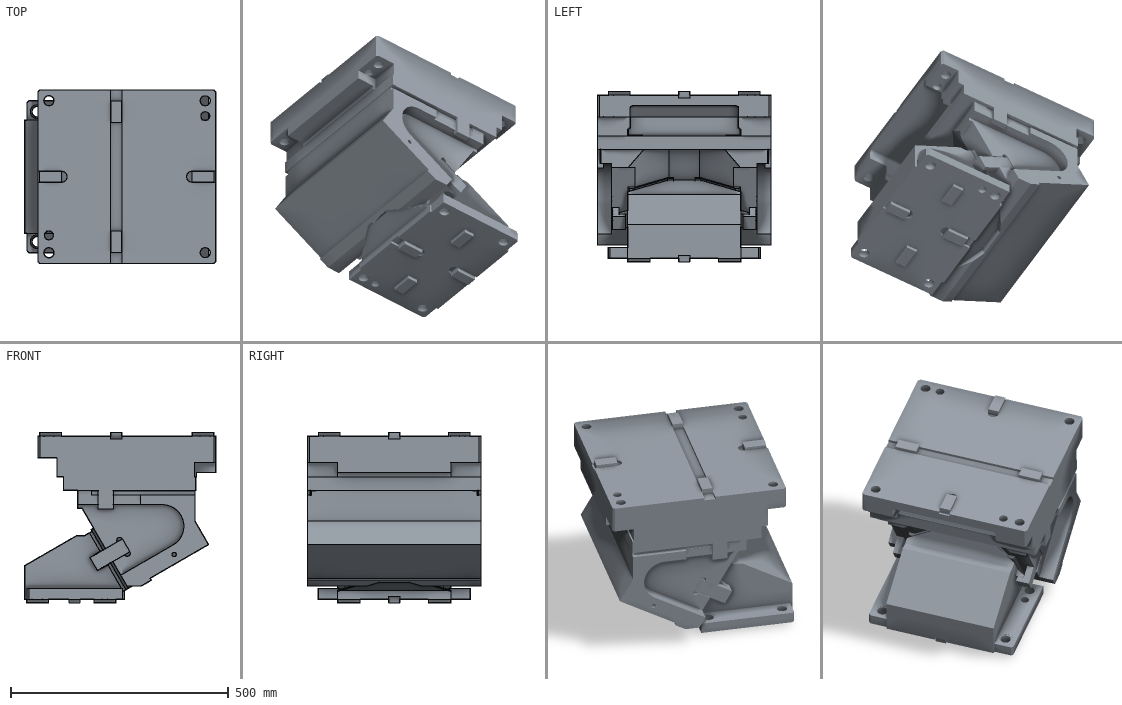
import cadquery as cq
import math


total_length = 440.0
total_width = 400.0
half_width = total_width / 2

tilt = math.radians(30)
tilt_cos = math.cos(tilt)
tilt_sin = math.sin(tilt)
roof_slope = math.tan(math.radians(30))

roof_eave_rise = 205.5
roof_half_width = 130.2
ridge_half_width = 38.5
ridge_rise = roof_eave_rise + (roof_half_width - ridge_half_width) * roof_slope
guide_top = 58.0
guide_bottom = -97.5
slider_face_rise = 219.0
groove_half_width = 113.0
groove_flat_half_width = 35.0
groove_mouth_rise = 198.0
groove_flat_rise = slider_face_rise + (groove_half_width - groove_flat_half_width) * roof_slope

pad_top = 62.5
pad_bottom = -97.0
pad_inner_y = 24.0
pad_slope_end_y = 117.5
pad_lip_y = 129.5

base_shoulder_z = 77.5
base_top_z = 146.5
base_end_x = 230.0
flange_start_x = 5.5
flange_end_x = 225.5
flange_half_width = 175.0
flange_height = 25.0
corner_chamfer = 5.0
flange_hole_xs = (29.0, 202.5)
flange_hole_y = 149.5
flange_hole_diameter = 23.8
flange_sink_diameter = 31.5
flange_sink_depth = 1.0
flange_dowel_x = 168.0
flange_dowel_diameter = 19.0

hook_start_rise = 178.0
hook_end_rise = 264.5
hook_bottom = -26.5
hook_top = 8.0
hook_inner_y = 134.5
hook_leg_y = 149.5
hook_outer_y = 165.0
hook_foot_thickness = 11.5
hook_relief_radius = 7.0
ear_outer_y = 148.5
ear_overhang = 1.0
hook_foot_rise = hook_start_rise + hook_foot_thickness

slider_left_x = 122.0
slider_right_x = 392.0
slider_top_z = 251.0
slider_left_bottom_z = 209.5
slider_bottom_z = 30.5
slider_bottom_end_x = 268.5
slider_ramp_step_x = 291.5
slider_ramp_step = 5.5
slider_tip_x = 423.5
side_pocket_y = 167.0
side_pocket_top_z = 218.0
side_pocket_radius = 49.5
side_pocket_slide = -62.5
guide_wall_y = 192.0
ledge_start_x = 266.0
ledge_top_z = 240.0
rebate_start_x = 154.0
rebate_depth = 1.5
gap_height = 1.8
gap_depth = 9.0
side_hole_x = 344.0
side_hole_z = 103.0
side_hole_diameter = 10.0
side_hole_depth = 17.5

plate_left_x = 30.5
plate_top_z = 375.5
left_lip_z = 325.5
left_step_x = 74.0
step_z = 281.5
lower_left_x = 89.5
lower_right_x = 394.0
right_step_x = 390.5
right_lip_z = 314.5
rear_block_x = 396.0
rear_block_z = 291.5
tab_start_x = 169.0
tab_end_x = 204.0
tab_bottom_z = 207.5
tab_inner_y = 193.5
tab_foot_y = 186.0
plate_hole_xs = (56.0, 415.5)
plate_hole_y = 174.5
plate_hole_diameter = 23.0
plate_dowel_ys = (-135.0, 139.5)
plate_dowel_diameter = 20.2

recess_half_width = 125.0
recess_top_z = 351.0
recess_back_x = 149.5
recess_corner_radius = 21.0
recess_edge_radius = 7.0
channel_half_width = 130.2
channel_flare_top_z = 301.0
channel_flare_bottom_z = 296.5
filler_front_x = 114.5
filler_clearance = 1.8
filler_relief_y = 95.5

key_width = 25.5
key_proud = 9.0
key_seat = 6.0
key_edge_chamfer = 1.0
plate_key_ends = ((34.8, 85.0), (385.5, 435.5))
plate_cross_key_x = 210.8
plate_cross_key_ys = (124.5, 174.5)
base_key_ends = ((5.0, 55.5), (159.5, 210.0))
base_cross_key_x = 115.0
base_cross_key_ys = (78.8, 130.2)


def block(xs, ys, zs):
    """Box between pairs of X, Y and Z limits."""
    size = [max(pair) - min(pair) for pair in (xs, ys, zs)]
    return cq.Workplane("XY").box(*size, centered=False).translate((min(xs), min(ys), min(zs)))


def side_prism(points, half_depth):
    """Outline in X and Z, extruded to the same depth on both sides of Y = 0."""
    return cq.Workplane("XZ").polyline(points).close().extrude(half_depth, both=True)


def guide_prism(points, top, bottom):
    """Outline in Y and rise, extruded along the slide direction."""
    plane = cq.Plane(
        origin=(-tilt_sin * top, 0, tilt_cos * top), xDir=(0, 1, 0), normal=(tilt_sin, 0, -tilt_cos)
    )
    return cq.Workplane(plane).polyline(points).close().extrude(top - bottom)


def inclined_sketch(outer_y):
    """Workplane at Y = -outer_y with rise and slide axes, facing -Y."""
    plane = cq.Plane(origin=(0, -outer_y, 0), xDir=(tilt_cos, 0, tilt_sin), normal=(0, -1, 0))
    return cq.Workplane(plane)


def both_sides(shape):
    """The shape together with its mirror image across Y = 0."""
    return shape.union(shape.mirror("XZ"))


def upright_hole(x, y, diameter, zs):
    """Vertical cylinder between two heights."""
    return cq.Workplane("XY", origin=(x, y, min(zs))).circle(diameter / 2).extrude(max(zs) - min(zs))


def point_at(rise, slide):
    """X and Z of a point given in inclined coordinates."""
    return (rise * tilt_cos - slide * tilt_sin, rise * tilt_sin + slide * tilt_cos)


def key(xs, ys, face_z, outward):
    """Key seated in a horizontal face; its exposed long edges are chamfered."""
    bar = block(xs, ys, (face_z - outward * key_seat, face_z + outward * key_proud))
    long_axis = "X" if xs[1] - xs[0] > ys[1] - ys[0] else "Y"
    exposed = ">Z" if outward > 0 else "<Z"
    return bar.faces(exposed).edges("|" + long_axis).chamfer(key_edge_chamfer)


def key_slot(open_x, round_x, face_z, inward):
    """Slot along X on Y = 0, open at one end; the arc at the other end is centred on round_x."""
    floor_z = face_z + inward * key_seat
    half = key_width / 2
    straight = block(sorted((open_x, round_x)), (-half, half), (face_z, floor_z))
    return straight.union(upright_hole(round_x, 0, key_width, (face_z, floor_z)))


def base_wedge():
    """Wedge-shaped core whose inclined side is the roof-shaped guide."""
    shoulder_run = (base_top_z - base_shoulder_z) / math.tan(tilt)
    top_end_x = (base_top_z * tilt_cos - guide_top) / tilt_sin
    end_rise = (base_end_x + guide_bottom * tilt_sin) / tilt_cos
    wedge = side_prism(
        [
            (0, 0),
            (0, base_shoulder_z),
            (shoulder_run, base_top_z),
            (top_end_x, base_top_z),
            point_at(ridge_rise, guide_top),
            point_at(ridge_rise, guide_bottom),
            point_at(end_rise, guide_bottom),
            (base_end_x, 0),
        ],
        roof_half_width,
    )
    above_roof = guide_prism(
        [
            (ridge_half_width, ridge_rise),
            (roof_half_width, roof_eave_rise),
            (roof_half_width, ridge_rise),
        ],
        guide_top,
        guide_bottom,
    )
    return wedge.cut(both_sides(above_roof))


def base_flange():
    """Mounting flange with sunk screw holes and a dowel hole."""
    ys = (-flange_half_width, flange_half_width)
    flange = block((flange_start_x, flange_end_x), ys, (0, flange_height))
    flange = flange.faces("<X").edges("|Z").chamfer(corner_chamfer)
    for x in flange_hole_xs:
        for y in (-flange_hole_y, flange_hole_y):
            flange = flange.cut(upright_hole(x, y, flange_hole_diameter, (0, flange_height)))
            sink_zs = (flange_height - flange_sink_depth, flange_height)
            flange = flange.cut(upright_hole(x, y, flange_sink_diameter, sink_zs))
    dowel_hole = upright_hole(flange_dowel_x, -flange_hole_y, flange_dowel_diameter, (0, flange_height))
    return flange.cut(dowel_hole)


def base_ears():
    """Side ears under the eaves, continuing the slope of the roof."""
    ear_rise = roof_eave_rise - (ear_outer_y - roof_half_width) * roof_slope
    ear = guide_prism(
        [
            (roof_half_width, hook_foot_rise),
            (roof_half_width, roof_eave_rise),
            (ear_outer_y, ear_rise),
            (ear_outer_y, hook_foot_rise),
        ],
        hook_top + ear_overhang,
        hook_bottom - ear_overhang,
    )
    return both_sides(ear)


def make_base():
    base = base_wedge().union(base_flange()).union(base_ears())
    (left_key, right_key) = base_key_ends
    base = base.cut(key_slot(0, left_key[1], 0, 1))
    base = base.cut(key_slot(base_end_x, right_key[0], 0, 1))
    half = key_width / 2
    for xs in base_key_ends:
        base = base.union(key(xs, (-half, half), 0, -1))
    cross_xs = (base_cross_key_x - half, base_cross_key_x + half)
    return base.union(both_sides(key(cross_xs, base_cross_key_ys, 0, -1)))


def slider_block():
    """Full-width slider outline."""
    face_top_x = (slider_face_rise - slider_left_bottom_z * tilt_sin) / tilt_cos
    face_bottom_x = (slider_face_rise - slider_bottom_z * tilt_sin) / tilt_cos
    step_z_low = slider_bottom_z + (slider_ramp_step_x - slider_bottom_end_x) * math.tan(tilt)
    step_x_high = slider_ramp_step_x - slider_ramp_step * tilt_sin
    step_z_high = step_z_low + slider_ramp_step * tilt_cos
    tip_z = step_z_high + (slider_tip_x - step_x_high) * math.tan(tilt)
    right_bottom_z = tip_z + (slider_tip_x - slider_right_x) / math.tan(tilt)
    return side_prism(
        [
            (slider_left_x, slider_top_z),
            (slider_left_x, slider_left_bottom_z),
            (face_top_x, slider_left_bottom_z),
            (face_bottom_x, slider_bottom_z),
            (slider_bottom_end_x, slider_bottom_z),
            (slider_ramp_step_x, step_z_low),
            (step_x_high, step_z_high),
            (slider_tip_x, tip_z),
            (slider_right_x, right_bottom_z),
            (slider_right_x, slider_top_z),
        ],
        half_width,
    )


def slider_groove():
    """V groove with a flat bottom, running the whole length of the slider."""
    mouth_y = groove_half_width + (slider_face_rise - groove_mouth_rise) / roof_slope
    return guide_prism(
        [
            (-mouth_y, groove_mouth_rise),
            (-groove_flat_half_width, groove_flat_rise),
            (groove_flat_half_width, groove_flat_rise),
            (mouth_y, groove_mouth_rise),
        ],
        total_length,
        -total_length,
    )


def roof_rise_at(y):
    """Rise of the base roof plane at a distance from the plane of symmetry."""
    return roof_eave_rise + (roof_half_width - y) * roof_slope


def wear_pads():
    """Pads that fill the gap between groove and roof, with a flat lip along both long edges."""
    lip_rise = roof_rise_at(pad_slope_end_y)
    lip_end_y = pad_lip_y - (slider_face_rise - lip_rise) * roof_slope
    pad = guide_prism(
        [
            (pad_inner_y, ridge_rise),
            (ridge_half_width, ridge_rise),
            (pad_slope_end_y, lip_rise),
            (lip_end_y, lip_rise),
            (pad_lip_y, slider_face_rise),
            (groove_half_width, slider_face_rise),
            (groove_flat_half_width, groove_flat_rise),
            (pad_inner_y, groove_flat_rise),
        ],
        pad_top,
        pad_bottom,
    )
    return both_sides(pad)


def side_pockets():
    """Outer side pockets, open to the left, with one large rounded end."""
    centre_z = side_pocket_top_z - side_pocket_radius
    centre_x = (centre_z * tilt_cos - side_pocket_slide - side_pocket_radius) / tilt_sin
    low_x = centre_x + side_pocket_radius * tilt_sin
    low_z = centre_z - side_pocket_radius * tilt_cos
    pocket = (
        cq.Workplane("XZ", origin=(0, -side_pocket_y, 0))
        .moveTo(0, side_pocket_top_z)
        .lineTo(centre_x, side_pocket_top_z)
        .threePointArc((centre_x + side_pocket_radius, centre_z), (low_x, low_z))
        .lineTo(0, low_z - low_x * math.tan(tilt))
        .close()
        .extrude(half_width - side_pocket_y)
    )
    return both_sides(pocket)


def top_edge_cuts():
    """Narrowed guide walls, ledges, rebates and gaps along the upper side edges."""
    outer = -half_width
    top_zs = (side_pocket_top_z, slider_top_z)
    cuts = block((slider_left_x, ledge_start_x), (outer, -guide_wall_y), top_zs)
    cuts = cuts.union(
        block((slider_left_x, slider_right_x), (outer, -guide_wall_y), (ledge_top_z, slider_top_z))
    )
    rebate_xs = (rebate_start_x, slider_right_x)
    rebate_y = -guide_wall_y + rebate_depth
    cuts = cuts.union(block(rebate_xs, (outer, rebate_y), (ledge_top_z, slider_top_z)))
    gap_zs = (slider_top_z - gap_height, slider_top_z)
    return both_sides(cuts.union(block(rebate_xs, (outer, rebate_y + gap_depth), gap_zs)))


def hook_slots():
    """Slots that seat the hooks in the pocket walls, with relieved corners."""
    depth = side_pocket_y - hook_leg_y
    middle = (hook_top + hook_bottom) / 2
    slot = (
        inclined_sketch(hook_leg_y)
        .center((slider_face_rise + hook_end_rise) / 2, middle)
        .rect(hook_end_rise - slider_face_rise, hook_top - hook_bottom)
        .extrude(depth)
    )
    relief_rise = hook_end_rise - hook_relief_radius
    reliefs = (
        inclined_sketch(hook_leg_y)
        .pushPoints([(relief_rise, hook_top), (relief_rise, hook_bottom)])
        .circle(hook_relief_radius)
        .extrude(depth)
    )
    return both_sides(slot.union(reliefs))


def hooks():
    """L-shaped return hooks reaching under the ears of the base."""
    hook = guide_prism(
        [
            (hook_inner_y, hook_start_rise),
            (hook_outer_y, hook_start_rise),
            (hook_outer_y, hook_end_rise),
            (hook_leg_y, hook_end_rise),
            (hook_leg_y, hook_foot_rise),
            (hook_inner_y, hook_foot_rise),
        ],
        hook_top,
        hook_bottom,
    )
    return both_sides(hook)


def side_holes():
    """Blind holes in both outer sides."""
    hole = (
        cq.Workplane("XZ", origin=(side_hole_x, side_hole_depth - half_width, side_hole_z))
        .circle(side_hole_diameter / 2)
        .extrude(side_hole_depth)
    )
    return both_sides(hole)


def make_slider():
    slider = slider_block().cut(slider_groove()).cut(side_pockets()).cut(top_edge_cuts())
    slider = slider.cut(side_holes()).cut(hook_slots())
    return slider.union(hooks()).union(wear_pads())


def plate_block():
    """Stepped plate with chamfered lip corners and a deeper middle at the right."""
    plate = side_prism(
        [
            (plate_left_x, plate_top_z),
            (plate_left_x, left_lip_z),
            (left_step_x, left_lip_z),
            (left_step_x, step_z),
            (lower_left_x, step_z),
            (lower_left_x, slider_top_z),
            (lower_right_x, slider_top_z),
            (lower_right_x, step_z),
            (right_step_x, step_z),
            (right_step_x, right_lip_z),
            (total_length, right_lip_z),
            (total_length, plate_top_z),
        ],
        half_width,
    )
    for face in ("<X", ">X"):
        plate = plate.faces(face).edges("|Z").chamfer(corner_chamfer)
    middle = (-channel_half_width, channel_half_width)
    plate = plate.union(block((right_step_x, total_length), middle, (rear_block_z, right_lip_z)))
    return plate.union(block((right_step_x, rear_block_x), middle, (step_z, rear_block_z)))


def channel_outline(clearance, top_z):
    """Section in Y and Z of the flared channel, narrowed by a clearance."""
    neck = recess_half_width - clearance
    foot = channel_half_width - clearance
    right_half = [
        (neck, top_z),
        (neck, channel_flare_top_z),
        (foot, channel_flare_bottom_z),
        (foot, step_z),
    ]
    return right_half + [(-y, z) for y, z in reversed(right_half)]


def left_recess():
    """Rounded recess under the left lip, and the flared channel below it."""
    middle = (-recess_half_width, recess_half_width)
    recess = block((plate_left_x, recess_back_x), middle, (left_lip_z, recess_top_z))
    recess = recess.edges(">X and |Z").fillet(recess_corner_radius)
    recess = recess.faces(">Z").edges("not <X").fillet(recess_edge_radius)
    channel = (
        cq.Workplane("YZ", origin=(left_step_x, 0, 0))
        .polyline(channel_outline(0, left_lip_z))
        .close()
        .extrude(recess_back_x - left_step_x)
    )
    return recess.union(channel)


def channel_filler():
    """Filler block standing in the channel, relieved under its outer edges."""
    depth = recess_back_x - filler_front_x
    filler = (
        cq.Workplane("YZ", origin=(filler_front_x, 0, 0))
        .polyline(channel_outline(filler_clearance, left_lip_z))
        .close()
        .extrude(depth)
    )
    relief = block(
        (filler_front_x, recess_back_x),
        (filler_relief_y, channel_half_width),
        (step_z, step_z + filler_clearance),
    )
    return filler.cut(both_sides(relief))


def retaining_tabs():
    """L-shaped tabs that hang from both sides and hold the slider up."""
    tab_xs = (tab_start_x, tab_end_x)
    wall = block(tab_xs, (-half_width, -tab_inner_y), (tab_bottom_z, slider_top_z))
    foot = block(tab_xs, (-half_width, -tab_foot_y), (tab_bottom_z, side_pocket_top_z))
    return both_sides(wall.union(foot))


def plate_holes():
    """Screw holes at the corners and two dowel holes, all through the lips."""
    through = (right_lip_z, plate_top_z)
    holes = cq.Workplane("XY")
    for x, dowel_y in zip(plate_hole_xs, plate_dowel_ys):
        for y in (-plate_hole_y, plate_hole_y):
            holes = holes.add(upright_hole(x, y, plate_hole_diameter, through))
        holes = holes.add(upright_hole(x, dowel_y, plate_dowel_diameter, through))
    return holes.combine()


def make_plate():
    plate = plate_block().cut(left_recess()).union(channel_filler())
    plate = plate.union(retaining_tabs()).cut(plate_holes())
    half = key_width / 2
    (left_key, right_key) = plate_key_ends
    plate = plate.cut(key_slot(plate_left_x, left_key[1], plate_top_z, -1))
    plate = plate.cut(key_slot(total_length, right_key[0], plate_top_z, -1))
    cross_xs = (plate_cross_key_x - half, plate_cross_key_x + half)
    cross_slot = block(cross_xs, (-half_width, half_width), (plate_top_z - key_seat, plate_top_z))
    plate = plate.cut(cross_slot)
    for xs in plate_key_ends:
        plate = plate.union(key(xs, (-half, half), plate_top_z, 1))
    return plate.union(both_sides(key(cross_xs, plate_cross_key_ys, plate_top_z, 1)))


base = make_base()
slider = make_slider()
plate = make_plate()

result = cq.Compound.makeCompound([base.solids().val(), slider.solids().val(), plate.solids().val()])